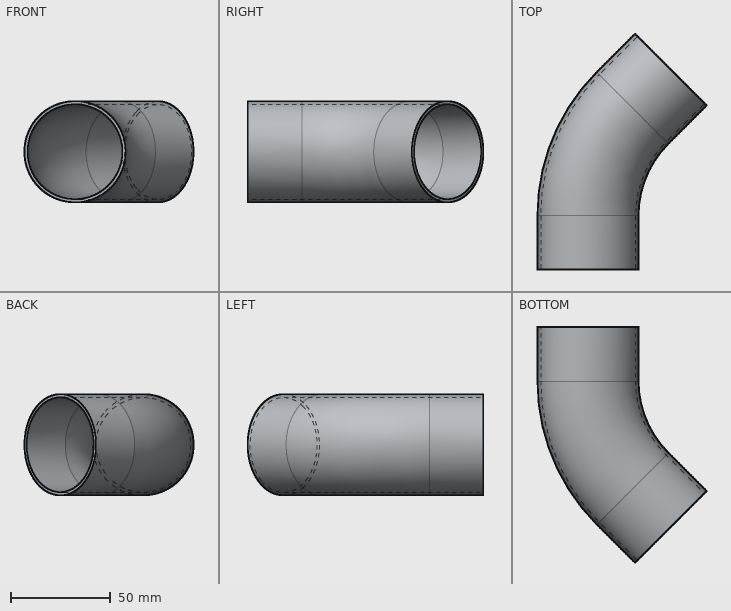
import cadquery as cq
import math

outer_diameter = 50.8
inner_diameter = 47.5
bend_radius = 76.2
bend_angle = 45.0
leg_length = 27.2


def bend_point(angle_degrees):
    """Point on the centreline arc, measured from the start of the bend."""
    angle = math.radians(angle_degrees)
    x = bend_radius * (1 - math.cos(angle))
    y = leg_length + bend_radius * math.sin(angle)
    return x, y


bend_end_x, bend_end_y = bend_point(bend_angle)
exit_angle = math.radians(bend_angle)
outlet = (
    bend_end_x + leg_length * math.sin(exit_angle),
    bend_end_y + leg_length * math.cos(exit_angle),
)
centreline = (
    cq.Workplane("XY")
    .lineTo(0, leg_length)
    .threePointArc(bend_point(bend_angle / 2), (bend_end_x, bend_end_y))
    .lineTo(*outlet)
)

result = (
    cq.Workplane("XZ")
    .circle(outer_diameter / 2)
    .circle(inner_diameter / 2)
    .sweep(centreline)
)